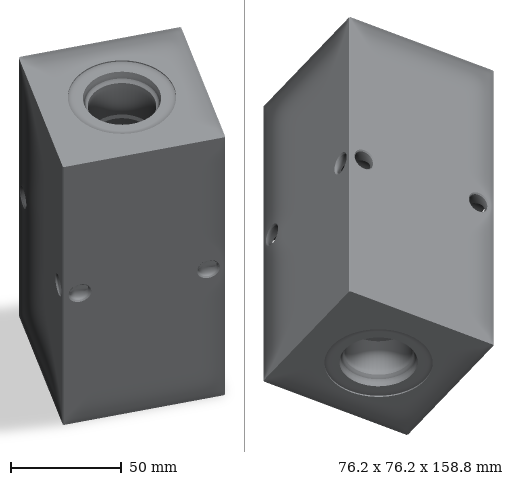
import cadquery as cq
import math

WIDTH = 76.2
HEIGHT = 158.75
EDGE_CHAMFER = 0.5

BORE_DIAMETER = 28.0
SPOTFACE_DIAMETER = 49.0
SPOTFACE_DEPTH = 0.7
SEAT_MOUTH_DIAMETER = 35.4
SEAT_DEPTH = 3.5
SEAT_HALF_ANGLE = 12.0
THREAD_DIAMETER = 31.0
THREAD_LEAD_HALF_ANGLE = 45.0
DRILL_POINT_HALF_ANGLE = 59.0
PORT_DEPTH = 25.0

MOUNT_DIAMETER = 9.5
MOUNT_CHAMFER = 0.6
MOUNT_SPACING = 60.3


def make_block():
    """Square block with lightly chamfered long edges."""
    return cq.Workplane("XY").box(WIDTH, WIDTH, HEIGHT).edges("|Z").chamfer(EDGE_CHAMFER)


def make_port():
    """Cutter for the top port: spotface, tapered seal seat, lead-in, thread bore and drill point."""
    top = HEIGHT / 2
    floor = top - SPOTFACE_DEPTH
    seat_end = floor - SEAT_DEPTH
    mouth_radius = SEAT_MOUTH_DIAMETER / 2
    seat_radius = mouth_radius - SEAT_DEPTH * math.tan(math.radians(SEAT_HALF_ANGLE))
    thread_radius = THREAD_DIAMETER / 2
    lead_end = seat_end - (seat_radius - thread_radius) / math.tan(math.radians(THREAD_LEAD_HALF_ANGLE))
    bore_radius = BORE_DIAMETER / 2
    thread_end = top - PORT_DEPTH
    point_end = thread_end - (thread_radius - bore_radius) / math.tan(math.radians(DRILL_POINT_HALF_ANGLE))
    profile = [
        (0, top),
        (SPOTFACE_DIAMETER / 2, top),
        (SPOTFACE_DIAMETER / 2, floor),
        (mouth_radius, floor),
        (seat_radius, seat_end),
        (thread_radius, lead_end),
        (thread_radius, thread_end),
        (bore_radius, point_end),
        (0, point_end),
    ]
    return cq.Workplane("XZ").polyline(profile).close().revolve(360, (0, 0, 0), (0, 1, 0))


def make_mount_hole():
    """Cutter along Y on the origin, flared at both ends by the entry chamfers."""
    half = WIDTH / 2
    radius = MOUNT_DIAMETER / 2
    flare = radius + MOUNT_CHAMFER
    profile = [
        (0, -half),
        (flare, -half),
        (radius, -half + MOUNT_CHAMFER),
        (radius, half - MOUNT_CHAMFER),
        (flare, half),
        (0, half),
    ]
    return cq.Workplane("XY").polyline(profile).close().revolve(360, (0, 0, 0), (0, 1, 0))


result = make_block()

bore = cq.Workplane("XY").circle(BORE_DIAMETER / 2).extrude(HEIGHT / 2, both=True)
result = result.cut(bore)

port = make_port()
result = result.cut(port).cut(port.mirror("XY"))

mount_hole = make_mount_hole()
for side in (-1, 1):
    along_y = mount_hole.translate((side * MOUNT_SPACING / 2, 0, 0))
    along_x = along_y.rotate((0, 0, 0), (0, 0, 1), 90)
    result = result.cut(along_y).cut(along_x)